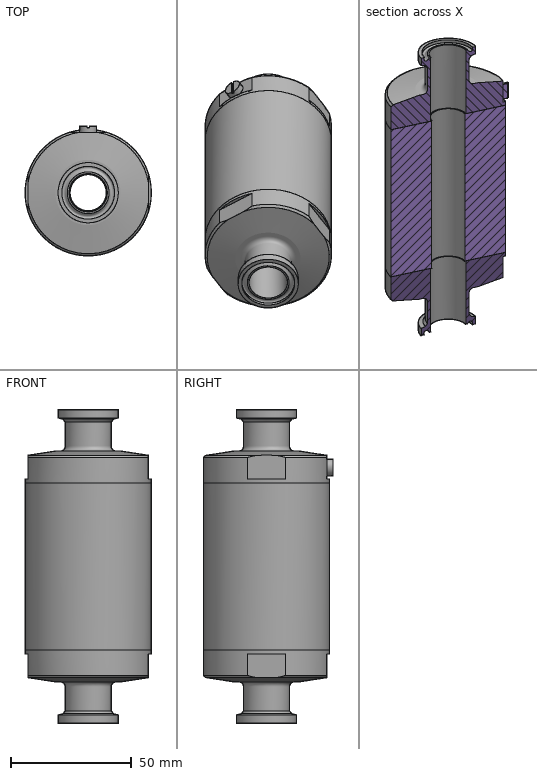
import cadquery as cq
import math

length = 130.0
body_diameter = 52.4
sleeve_bore_diameter = 15.0
sleeve_length = 69.2

cap_bore_diameter = 15.9
flat_distance = 25.0
flat_start = 36.3
shoulder_height = 46.0
edge_chamfer = 0.9
seat_height = 47.8
seat_radius = 13.5
neck_diameter = 19.1
neck_fillet = 2.0

flange_diameter = 25.0
flange_rim = 3.5
flange_neck_length = 1.7
taper_height = 0.5
taper_radius = 10.5

groove_outer_diameter = 21.8
groove_inner_diameter = 17.3
groove_wall_depth = 1.3
groove_depth = 1.8
groove_floor_radius = 9.5
lip_drop = 0.8

overall_depth = 53.8
plug_diameter = 7.0
plug_height = 41.0
slot_width = 0.9
slot_depth = 0.6

body_radius = body_diameter / 2
cap_bore_radius = cap_bore_diameter / 2
neck_radius = neck_diameter / 2
flange_radius = flange_diameter / 2
end_height = length / 2
cap_start = sleeve_length / 2
rim_start = end_height - flange_rim
plug_end = overall_depth - body_radius


def make_sleeve():
    """Cylindrical centre section with the through bore."""
    return (
        cq.Workplane("XY")
        .workplane(offset=-cap_start)
        .circle(body_radius)
        .circle(sleeve_bore_diameter / 2)
        .extrude(sleeve_length)
    )


def cap_blank():
    """Revolved cap, neck and flange."""
    diagonal = math.sqrt(0.5)
    fillet_mid = (
        neck_radius + neck_fillet * (1 - diagonal),
        seat_height + neck_fillet * (1 - diagonal),
    )
    return (
        cq.Workplane("XZ")
        .moveTo(cap_bore_radius, cap_start)
        .lineTo(body_radius, cap_start)
        .lineTo(body_radius, shoulder_height - edge_chamfer)
        .lineTo(body_radius - edge_chamfer, shoulder_height)
        .lineTo(seat_radius, seat_height)
        .lineTo(neck_radius + neck_fillet, seat_height)
        .threePointArc(fillet_mid, (neck_radius, seat_height + neck_fillet))
        .lineTo(neck_radius, rim_start - flange_neck_length)
        .lineTo(taper_radius, rim_start - taper_height)
        .lineTo(flange_radius, rim_start)
        .lineTo(flange_radius, end_height)
        .lineTo(cap_bore_radius, end_height)
        .close()
        .revolve(360, (0, 0, 0), (0, 1, 0))
    )


def gasket_groove():
    """Round-bottomed groove with a lowered inner lip, removed from the flange face."""
    outer = groove_outer_diameter / 2
    inner = groove_inner_diameter / 2
    lip_height = end_height - lip_drop
    floor_middle = ((outer + groove_floor_radius) / 2, end_height - groove_depth)
    floor_edge_height = end_height - (groove_wall_depth + groove_depth) / 2
    return (
        cq.Workplane("XZ")
        .moveTo(0, end_height)
        .lineTo(outer, end_height)
        .lineTo(outer, end_height - groove_wall_depth)
        .threePointArc(floor_middle, (groove_floor_radius, floor_edge_height))
        .lineTo(inner, lip_height)
        .lineTo(0, lip_height)
        .close()
        .revolve(360, (0, 0, 0), (0, 1, 0))
    )


def cut_flats(cap):
    """Cut flats on the +X, +Y and -X sides of a cap."""
    cutter = cq.Workplane("XY").box(
        body_radius, body_diameter, seat_height - flat_start, centered=(False, True, False)
    ).translate((flat_distance, 0, flat_start))
    for angle in (0, 90, 180):
        cap = cap.cut(cutter.rotate((0, 0, 0), (0, 0, 1), angle))
    return cap


def make_cap(at_top):
    """End cap with flats and grooved flange; the bottom cap is mirrored."""
    cap = cut_flats(cap_blank().cut(gasket_groove()))
    return cap if at_top else cap.mirror("XY")


def make_plug():
    """Round plug seated on the +Y flat, with a slot along Z."""
    plug = (
        cq.Workplane("XZ", origin=(0, flat_distance, plug_height))
        .circle(plug_diameter / 2)
        .extrude(flat_distance - plug_end)
    )
    slot = cq.Workplane("XY").box(slot_width, 2 * slot_depth, plug_diameter)
    return plug.cut(slot.translate((0, plug_end, plug_height)))


sleeve = make_sleeve()
caps = [make_cap(at_top) for at_top in (True, False)]
plug = make_plug()

result = cq.Compound.makeCompound([sleeve.val(), *[cap.val() for cap in caps], plug.val()])